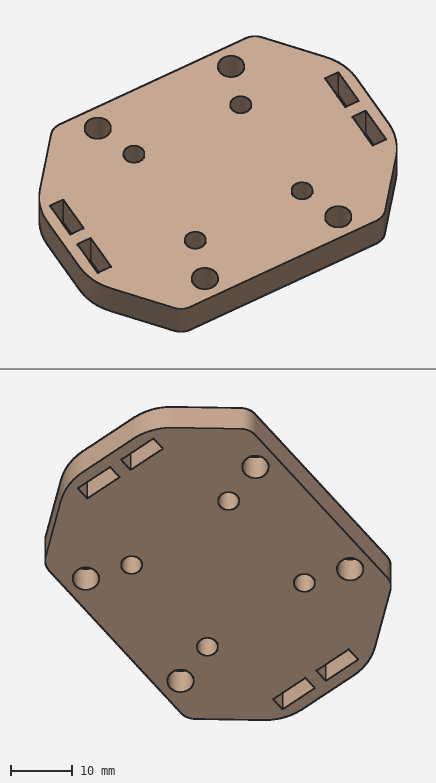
import cadquery as cq

width = 42.5
length = 58.0
thickness = 6.3

end_edge_length = 17.6
side_edge_length = 37.7
end_corner_radius = 10.0
side_corner_radius = 3.0
edge_tolerance = 0.05

inner_hole_diameter = 3.4
inner_hole_spacing = 20.0
outer_hole_diameter = 4.3
outer_hole_spacing_x = 35.0
outer_hole_spacing_y = 25.0

slot_width = 6.65
slot_height = 2.5
slot_spacing_x = 8.95
slot_spacing_y = 51.55


def make_plate():
    """Rectangular plate with sloped corners and rounded vertical edges."""
    plate = (
        cq.Workplane("XY")
        .polyline([
            (-end_edge_length / 2, -length / 2),
            (end_edge_length / 2, -length / 2),
            (width / 2, -side_edge_length / 2),
            (width / 2, side_edge_length / 2),
            (end_edge_length / 2, length / 2),
            (-end_edge_length / 2, length / 2),
            (-width / 2, side_edge_length / 2),
            (-width / 2, -side_edge_length / 2),
        ])
        .close()
        .extrude(thickness)
    )
    end_edges = plate.edges("|Z").filter(lambda edge: abs(edge.Center().y) > length / 2 - edge_tolerance)
    plate = end_edges.fillet(end_corner_radius)
    side_edges = plate.edges("|Z").filter(lambda edge: abs(edge.Center().x) > width / 2 - edge_tolerance)
    return side_edges.fillet(side_corner_radius)


def corner_pattern(spacing_x, spacing_y):
    """Workplane with one point at each corner of a centred rectangle."""
    return cq.Workplane("XY").rarray(spacing_x, spacing_y, 2, 2)


def make_holes(spacing_x, spacing_y, diameter):
    return corner_pattern(spacing_x, spacing_y).circle(diameter / 2).extrude(thickness)


def make_slots():
    return corner_pattern(slot_spacing_x, slot_spacing_y).rect(slot_width, slot_height).extrude(thickness)


result = (
    make_plate()
    .cut(make_holes(inner_hole_spacing, inner_hole_spacing, inner_hole_diameter))
    .cut(make_holes(outer_hole_spacing_x, outer_hole_spacing_y, outer_hole_diameter))
    .cut(make_slots())
)